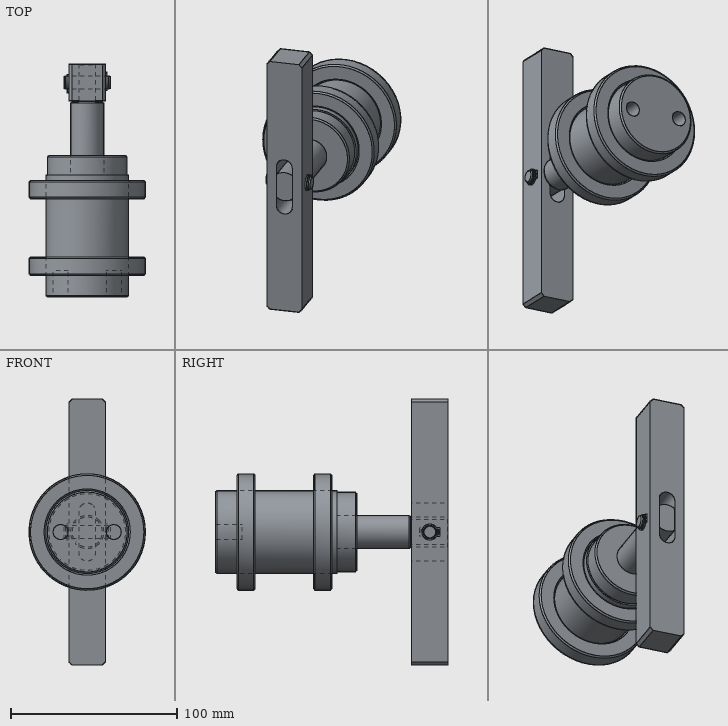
import cadquery as cq


total_length = 140.0
bar_height = 160.0

housing_diameter = 50.0
housing_length = 73.3
neck_diameter = 48.0
neck_length = 11.8
edge_chamfer = 1.0
port_diameter = 9.0
port_spacing = 32.0
port_depth = 16.0

nut_diameter = 70.0
nut_thickness = 11.0
nut_positions = (13.0, 59.0)

bar_width = 22.0
bar_chamfer = 2.0
slot_width = 10.0
slot_height = 34.9

rod_diameter = 20.0
rod_insertion = neck_length
shoulder_gap = 0.5

pin_diameter = 8.0
pin_length = 27.8
pin_chamfer_length = 1.0
pin_chamfer_depth = 0.5

clip_thickness = 1.0
clip_outer_diameter = 9.6
groove_diameter = 7.0
clip_lug_reach = 6.2
clip_lug_width = 5.3
clip_lug_chamfer = 0.5
clip_slit = 0.6
clip_eyelet_diameter = 1.3
clip_eyelet_reach = 4.8
clip_eyelet_spacing = 2.0

neck_end = housing_length + neck_length
bar_front = total_length - bar_width
pin_y = total_length - bar_width / 2
shoulder_y = bar_front - shoulder_gap
tongue_height = rod_diameter - 2 * edge_chamfer
tongue_end = total_length - shoulder_gap


def cylinder_y(diameter, start, end):
    """Solid cylinder on the Y axis between two Y positions."""
    return cq.Workplane("XZ", origin=(0, start, 0)).circle(diameter / 2).extrude(start - end)


def cylinder_x(diameter, length):
    """Solid cylinder along X, centred on the pin axis."""
    return cq.Workplane("YZ", origin=(0, pin_y, 0)).circle(diameter / 2).extrude(length / 2, both=True)


def make_housing():
    """Stepped barrel with two ports in the end face and a blind bore for the rod."""
    barrel = cylinder_y(housing_diameter, 0, housing_length).faces("<Y").chamfer(edge_chamfer)
    neck = cylinder_y(neck_diameter, housing_length, neck_end).faces(">Y").chamfer(edge_chamfer)
    ports = (
        cq.Workplane("XZ")
        .pushPoints([(-port_spacing / 2, 0), (port_spacing / 2, 0)])
        .circle(port_diameter / 2)
        .extrude(-port_depth)
    )
    rod_bore = cylinder_y(rod_diameter, neck_end - rod_insertion, neck_end)
    return barrel.union(neck).cut(ports).cut(rod_bore)


def make_ring_nut(start):
    """Ring around the housing with chamfered outer and inner rims."""
    end = start + nut_thickness
    ring = cylinder_y(nut_diameter, start, end).cut(cylinder_y(housing_diameter, start, end))
    return ring.faces("<Y or >Y").edges().chamfer(edge_chamfer)


def make_rod():
    """Round rod whose end is flattened into a tongue that fills the bar slot sideways."""
    shank = cylinder_y(rod_diameter, neck_end - rod_insertion, shoulder_y)
    shank = shank.faces(">Y").chamfer(edge_chamfer)
    flats = cq.Workplane("XY").box(slot_width, 2 * total_length, rod_diameter)
    tongue = cylinder_y(tongue_height, shoulder_y, tongue_end).intersect(flats)
    return shank.union(tongue).cut(cylinder_x(pin_diameter, pin_length))


def make_bar():
    """Square handle bar with chamfered ends, a through slot and a cross hole."""
    bar = cq.Workplane("XY", origin=(0, pin_y, 0)).box(bar_width, bar_width, bar_height)
    bar = bar.faces("<Z or >Z").edges("|Y").chamfer(bar_chamfer)
    slot = (
        cq.Workplane("XZ", origin=(0, bar_front, 0))
        .slot2D(slot_height, slot_width, 90)
        .extrude(-bar_width)
    )
    return bar.cut(slot).cut(cylinder_x(pin_diameter, bar_width))


def make_pin():
    """Cross pin with chamfered ends and a groove for a circlip beyond each bar side."""
    half_profile = (
        cq.Workplane("XY", origin=(0, pin_y, 0))
        .moveTo(-pin_length / 2, 0)
        .lineTo(-pin_length / 2, pin_diameter / 2 - pin_chamfer_depth)
        .lineTo(pin_chamfer_length - pin_length / 2, pin_diameter / 2)
        .lineTo(pin_length / 2 - pin_chamfer_length, pin_diameter / 2)
        .lineTo(pin_length / 2, pin_diameter / 2 - pin_chamfer_depth)
        .lineTo(pin_length / 2, 0)
        .close()
    )
    pin = half_profile.revolve(360, (0, 0, 0), (1, 0, 0))
    groove_span = bar_width + 2 * clip_thickness
    grooves = cylinder_x(pin_diameter, groove_span).cut(cylinder_x(groove_diameter, groove_span))
    return pin.cut(grooves.cut(cylinder_x(pin_diameter, bar_width)))


def make_circlip(side):
    """Split ring ending in two lugs with eyelets.

    Side is -1 or +1: it picks the bar side along X and the Y direction in which the lugs point.
    """
    plane = cq.Workplane("YZ", origin=(side * bar_width / 2, pin_y, 0))
    depth = side * clip_thickness
    lug_center = side * clip_lug_reach / 2
    eyelet_places = [(side * clip_eyelet_reach, z * clip_eyelet_spacing / 2) for z in (-1, 1)]
    ring = plane.circle(clip_outer_diameter / 2).extrude(depth)
    lug = plane.center(lug_center, 0).rect(clip_lug_reach, clip_lug_width).extrude(depth)
    lug = lug.edges("|X").chamfer(clip_lug_chamfer)
    slit = plane.center(lug_center, 0).rect(clip_lug_reach, clip_slit).extrude(depth)
    eyelets = plane.pushPoints(eyelet_places).circle(clip_eyelet_diameter / 2).extrude(depth)
    bore = plane.circle(groove_diameter / 2).extrude(depth)
    return ring.union(lug).cut(slit).cut(eyelets).cut(bore)


housing = make_housing()
ring_nuts = [make_ring_nut(start) for start in nut_positions]
rod = make_rod()
bar = make_bar()
pin = make_pin()
circlips = [make_circlip(side) for side in (-1, 1)]

result = cq.Compound.makeCompound([
    housing.val(),
    *[nut.val() for nut in ring_nuts],
    rod.val(),
    bar.val(),
    pin.val(),
    *[clip.val() for clip in circlips],
])